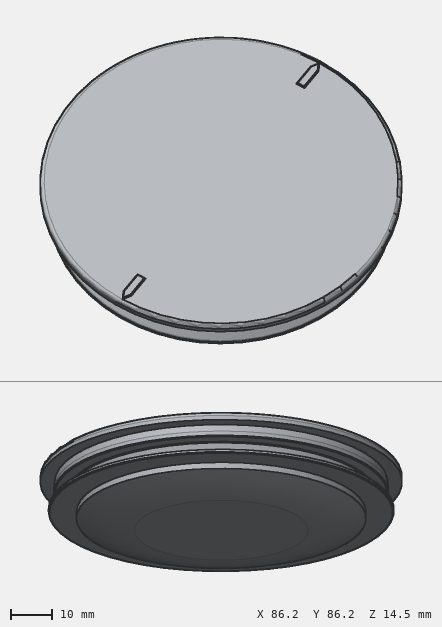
import cadquery as cq
import math

outer_radius = 43.1
overall_height = 14.5
marker_height = 0.3
cap_top = overall_height - marker_height

cap_thickness = 2.1
cap_fillet = 0.95
cap_bottom = cap_top - cap_thickness

body_radius = 39.6
ridge_radius = 39.8
ridge_z = 10.5
body_bottom = 9.1
body_chamfer = 0.3

neck_radius = 37.0
neck_top = 8.9
neck_bottom = 8.5
lip_radius = 41.1
lip_top = 5.6
lip_bottom = 4.5
lip_chamfer = 0.3

spigot_radius = 34.5
spigot_bottom = 2.9
flat_radius = 20.7

marker_width = 2.3
marker_draft = 45.0
marker_inner = 33.95
marker_shoulder = 40.1
marker_tip = outer_radius - cap_fillet


def dome_midpoint():
    """Point halfway along the dome arc, as (radius, z)."""
    run = spigot_radius - flat_radius
    dome_radius = (run**2 + spigot_bottom**2) / (2 * spigot_bottom)
    half_angle = math.asin(run / dome_radius) / 2
    return (
        flat_radius + dome_radius * math.sin(half_angle),
        dome_radius * (1 - math.cos(half_angle)),
    )


def make_plug():
    """Revolve the half section around Z."""
    section = (
        cq.Workplane("XZ")
        .lineTo(flat_radius, 0)
        .threePointArc(dome_midpoint(), (spigot_radius, spigot_bottom))
        .lineTo(spigot_radius, lip_bottom)
        .lineTo(lip_radius - lip_chamfer, lip_bottom)
        .lineTo(lip_radius, lip_bottom + lip_chamfer)
        .lineTo(lip_radius, lip_top - lip_chamfer)
        .lineTo(lip_radius - lip_chamfer, lip_top)
        .lineTo(neck_radius, neck_bottom)
        .lineTo(neck_radius, neck_top)
        .lineTo(ridge_radius - body_chamfer, body_bottom)
        .lineTo(ridge_radius, body_bottom + body_chamfer)
        .lineTo(ridge_radius, ridge_z)
        .lineTo(body_radius, cap_bottom)
        .lineTo(outer_radius, cap_bottom)
        .lineTo(outer_radius, cap_top - cap_fillet)
        .radiusArc((outer_radius - cap_fillet, cap_top), -cap_fillet)
        .lineTo(0, cap_top)
        .close()
    )
    return section.revolve(360, (0, 0, 0), (0, 1, 0))


def make_marker(side):
    """Raised pointer with sloping sides, aimed outward along Y; side is +1 or -1."""
    half_width = marker_width / 2
    outline = [
        (-half_width, side * marker_inner),
        (half_width, side * marker_inner),
        (half_width, side * marker_shoulder),
        (0, side * marker_tip),
        (-half_width, side * marker_shoulder),
    ]
    return (
        cq.Workplane("XY", origin=(0, 0, cap_top))
        .polyline(outline)
        .close()
        .extrude(marker_height, taper=marker_draft)
    )


result = make_plug()
for side in (1, -1):
    result = result.union(make_marker(side))